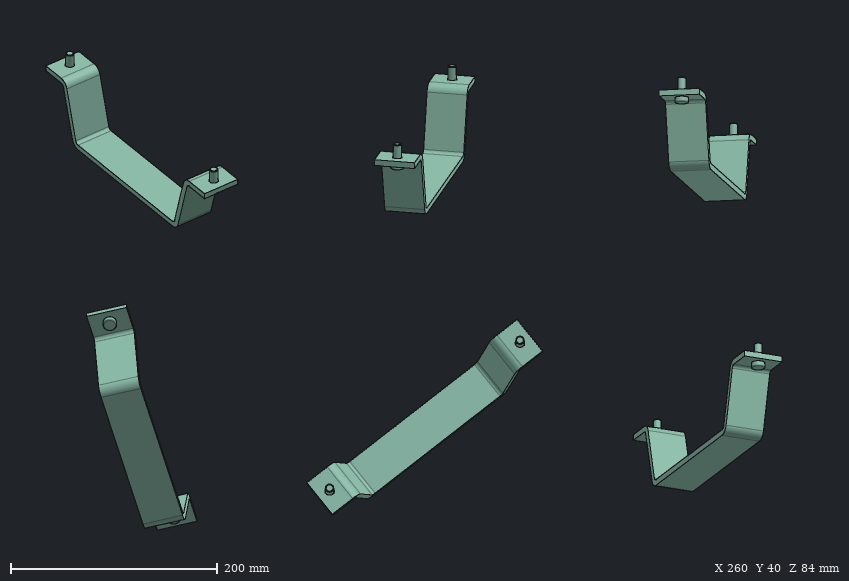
import cadquery as cq
import math

LENGTH = 260.0
WIDTH = 40.0
THICKNESS = 6.0
BRACKET_HEIGHT = 70.2
FLANGE_FLAT = 25.2
BEND_ANGLE = 75.0
INNER_BEND_RADIUS = 4.0
OUTER_BEND_RADIUS = INNER_BEND_RADIUS + THICKNESS

SCREW_INSET = 12.5
HOLE_DIAMETER = 9.0
SHANK_DIAMETER = 8.0
SHANK_PROJECTION = 13.8
SHANK_CHAMFER = 0.8
HEAD_DIAMETER = 13.0
HEAD_HEIGHT = 5.2
HEAD_FILLET = 0.8

FLANGE_BOTTOM = BRACKET_HEIGHT - THICKNESS
SCREW_X = LENGTH / 2 - SCREW_INSET


def make_bracket():
    half_bend = math.tan(math.radians(BEND_ANGLE / 2))
    corner_shift = THICKNESS * half_bend
    wall_run = FLANGE_BOTTOM / math.tan(math.radians(BEND_ANGLE))

    end_x = LENGTH / 2
    flange_upper_x = end_x - FLANGE_FLAT - OUTER_BEND_RADIUS * half_bend
    flange_lower_x = flange_upper_x + corner_shift
    floor_upper_x = flange_upper_x - wall_run
    floor_lower_x = flange_lower_x - wall_run

    upper_side = [
        (floor_upper_x, THICKNESS),
        (flange_upper_x, BRACKET_HEIGHT),
        (end_x, BRACKET_HEIGHT),
    ]
    lower_side = [
        (end_x, FLANGE_BOTTOM),
        (flange_lower_x, FLANGE_BOTTOM),
        (floor_lower_x, 0),
    ]
    right_half = upper_side + lower_side
    left_half = [(-x, z) for x, z in reversed(right_half)]

    bracket = (
        cq.Workplane("XZ")
        .polyline(right_half + left_half)
        .close()
        .extrude(WIDTH / 2, both=True)
    )

    bends = [
        (flange_upper_x, BRACKET_HEIGHT, OUTER_BEND_RADIUS),
        (flange_lower_x, FLANGE_BOTTOM, INNER_BEND_RADIUS),
        (floor_upper_x, THICKNESS, INNER_BEND_RADIUS),
        (floor_lower_x, 0, OUTER_BEND_RADIUS),
    ]
    for x, z, radius in bends:
        for side in (-1, 1):
            corner = cq.selectors.NearestToPointSelector((side * x, 0, z))
            bracket = bracket.edges("|Y").edges(corner).fillet(radius)

    holes = (
        cq.Workplane("XY", origin=(0, 0, FLANGE_BOTTOM))
        .pushPoints([(-SCREW_X, 0), (SCREW_X, 0)])
        .circle(HOLE_DIAMETER / 2)
        .extrude(THICKNESS)
    )
    return bracket.cut(holes)


def make_screw(x):
    """Screw on a vertical axis at x, with its head seated under the flange."""
    head = (
        cq.Workplane("XY", origin=(x, 0, FLANGE_BOTTOM - HEAD_HEIGHT))
        .circle(HEAD_DIAMETER / 2)
        .extrude(HEAD_HEIGHT)
        .faces("<Z")
        .edges()
        .fillet(HEAD_FILLET)
    )
    shank = (
        cq.Workplane("XY", origin=(x, 0, FLANGE_BOTTOM))
        .circle(SHANK_DIAMETER / 2)
        .extrude(THICKNESS + SHANK_PROJECTION)
        .faces(">Z")
        .chamfer(SHANK_CHAMFER)
    )
    return head.union(shank)


bracket = make_bracket()
screws = [make_screw(x) for x in (-SCREW_X, SCREW_X)]

result = cq.Compound.makeCompound([bracket.val(), *[screw.val() for screw in screws]])